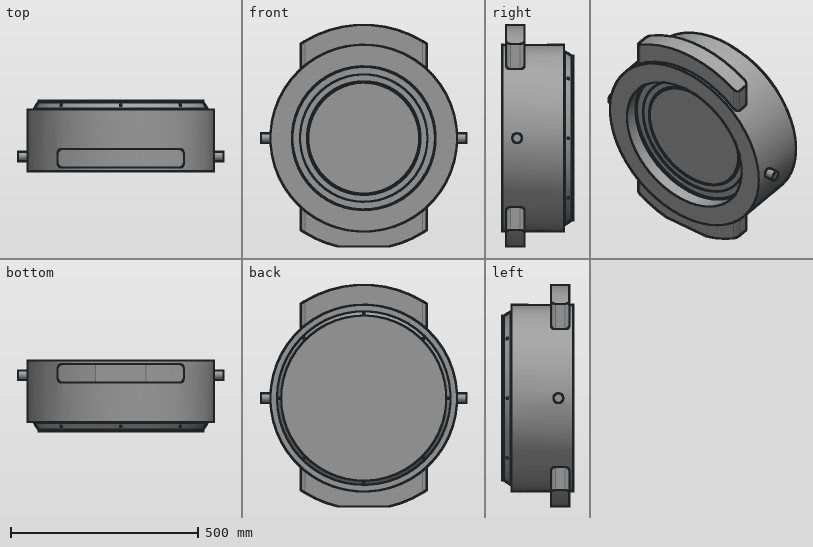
import cadquery as cq

FRONT_Y = -40.0
BODY_REAR_Y = 126.0
REAR_Y = 150.0

BODY_RADIUS = 249.5

COLLAR_BASE_RADIUS = 232.0
COLLAR_TIP_RADIUS = 220.5
COLLAR_BASE_LAND = 2.0
COLLAR_TIP_LAND = 5.5

BORE_RADIUS = 192.0
BORE_DEPTH = 37.5
TAPER_END_RADIUS = 190.5
TAPER_DEPTH = 2.5
TAPER_LAND = 2.0
LEDGE_RADIUS = 170.0
LEDGE_DEPTH = 2.5
GROOVE_OUTER_RADIUS = 152.0
GROOVE_INNER_RADIUS = 150.0
GROOVE_DEPTH = 2.0
DISC_RADIUS = 148.0
DISC_HEIGHT = 3.5

WALL_MID_RADIUS = (BORE_RADIUS + BODY_RADIUS) / 2

LUG_HALF_WIDTH = 168.5
LUG_FRONT_Y = -29.5
LUG_REAR_Y = 20.0
LUG_EDGE_RADIUS = 12.0
UPPER_LUG_RADIUS = 303.0
LOWER_LUG_RADIUS = 297.5
OVERALL_HEIGHT = 593.0
LOWER_FLAT_Z = UPPER_LUG_RADIUS - OVERALL_HEIGHT

PIN_RADIUS = 13.0
PIN_SPAN = 550.0

HOLE_COUNT = 8
HOLE_RADIUS = 2.0
HOLE_DEPTH = 6.0
HOLE_Y = 136.5


def cylinder_y(radius, y_start, y_end):
    """Solid cylinder on the Y axis between two stations."""
    return cq.Workplane("XZ", origin=(0, y_start, 0)).circle(radius).extrude(y_start - y_end)


def make_ring():
    """Revolved body: outer wall, rear collar and stepped front recess."""
    bore_y = FRONT_Y + BORE_DEPTH
    taper_y = bore_y + TAPER_DEPTH
    ledge_y = taper_y + TAPER_LAND
    floor_y = ledge_y + LEDGE_DEPTH
    groove_y = floor_y + GROOVE_DEPTH
    disc_y = groove_y - DISC_HEIGHT
    profile = [
        (0, disc_y),
        (DISC_RADIUS, disc_y),
        (GROOVE_INNER_RADIUS, groove_y),
        (GROOVE_OUTER_RADIUS, groove_y),
        (GROOVE_OUTER_RADIUS, floor_y),
        (LEDGE_RADIUS, floor_y),
        (LEDGE_RADIUS, ledge_y),
        (TAPER_END_RADIUS, ledge_y),
        (TAPER_END_RADIUS, taper_y),
        (BORE_RADIUS, bore_y),
        (BORE_RADIUS, FRONT_Y),
        (BODY_RADIUS, FRONT_Y),
        (BODY_RADIUS, BODY_REAR_Y),
        (COLLAR_BASE_RADIUS, BODY_REAR_Y),
        (COLLAR_BASE_RADIUS, BODY_REAR_Y + COLLAR_BASE_LAND),
        (COLLAR_TIP_RADIUS, REAR_Y - COLLAR_TIP_LAND),
        (COLLAR_TIP_RADIUS, REAR_Y),
        (0, REAR_Y),
    ]
    return cq.Workplane("XY").polyline(profile).close().revolve(360, (0, 0, 0), (0, 1, 0))


def make_lug(outer_radius, z_low, z_high):
    """Round-edged bar trimmed to an outer radius and hollow where the ring passes."""
    bar = (
        cq.Workplane("XY", origin=(0, (LUG_FRONT_Y + LUG_REAR_Y) / 2, z_low))
        .rect(2 * LUG_HALF_WIDTH, LUG_REAR_Y - LUG_FRONT_Y)
        .extrude(z_high - z_low)
        .edges("|Z")
        .fillet(LUG_EDGE_RADIUS)
    )
    bar = bar.intersect(cylinder_y(outer_radius, LUG_FRONT_Y, LUG_REAR_Y))
    return bar.cut(cylinder_y(WALL_MID_RADIUS, LUG_FRONT_Y, LUG_REAR_Y))


def make_pin(side):
    """Pin reaching from inside the ring wall out to one side (+1 or -1)."""
    pin = cq.Workplane("YZ", origin=(side * WALL_MID_RADIUS, 0, 0)).circle(PIN_RADIUS)
    return pin.extrude(side * (PIN_SPAN / 2 - WALL_MID_RADIUS))


def make_collar_hole(angle):
    """Cutter for one radial hole at an angle about the Y axis."""
    inner_radius = COLLAR_TIP_RADIUS - HOLE_DEPTH
    hole = (
        cq.Workplane("YZ", origin=(inner_radius, HOLE_Y, 0))
        .circle(HOLE_RADIUS)
        .extrude(COLLAR_BASE_RADIUS - inner_radius)
    )
    return hole.rotate((0, 0, 0), (0, 1, 0), angle)


result = make_ring()
result = result.union(make_lug(UPPER_LUG_RADIUS, 0, UPPER_LUG_RADIUS))
result = result.union(make_lug(LOWER_LUG_RADIUS, LOWER_FLAT_Z, 0))
for side in (-1, 1):
    result = result.union(make_pin(side))
for index in range(HOLE_COUNT):
    result = result.cut(make_collar_hole(index * 360 / HOLE_COUNT))